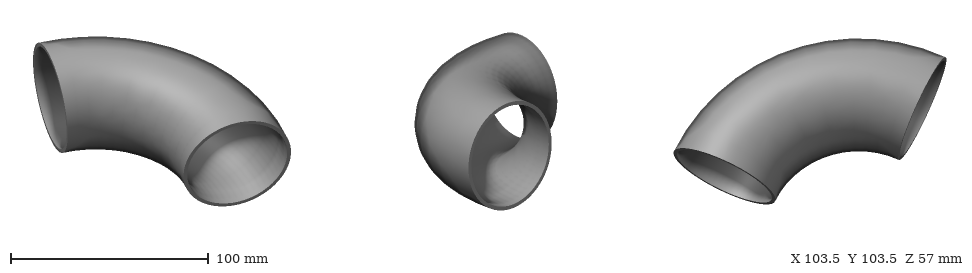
import cadquery as cq

outer_reach = 103.5
outer_diameter = 57.0
wall_thickness = 2.0
bend_angle = 90.0

outer_radius = outer_diameter / 2
inner_radius = outer_radius - wall_thickness
bend_radius = outer_reach - outer_radius


def pipe_elbow():
    """Revolve the ring-shaped pipe section about the vertical bend axis at the origin."""
    section = (
        cq.Workplane("XZ")
        .center(-bend_radius, 0)
        .circle(outer_radius)
        .circle(inner_radius)
    )
    axis_start = (bend_radius, 0)
    axis_end = (bend_radius, -1)
    return section.revolve(bend_angle, axis_start, axis_end)


result = pipe_elbow()